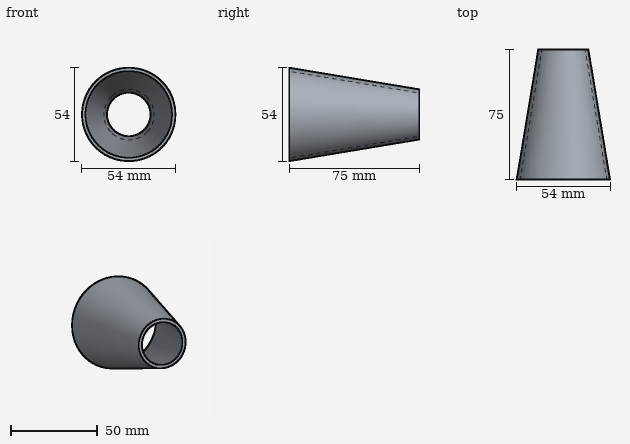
import cadquery as cq

length = 75.0
wide_diameter = 54.0
narrow_diameter = 29.0
wall = 2.0

wide_radius = wide_diameter / 2
narrow_radius = narrow_diameter / 2
wide_end = -length / 2
narrow_end = length / 2

wall_section = (
    cq.Workplane("XY")
    .moveTo(wide_radius - wall, wide_end)
    .lineTo(wide_radius, wide_end)
    .lineTo(narrow_radius, narrow_end)
    .lineTo(narrow_radius - wall, narrow_end)
    .close()
)

result = wall_section.revolve(360, (0, 0, 0), (0, 1, 0))